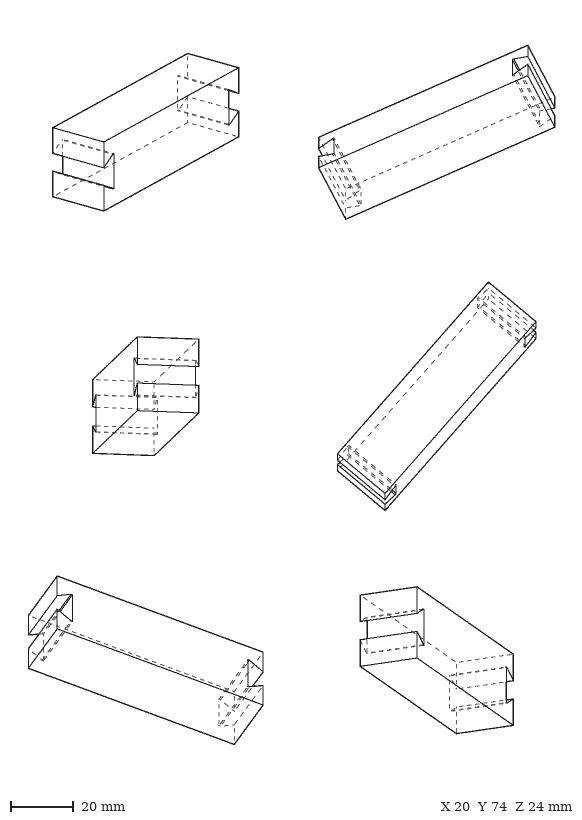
import cadquery as cq

width = 20.0
length = 74.0
height = 24.0

mouth_height = 6.1
floor_height = 12.0
flank_depth = 4.95
groove_depth = 5.5


def dovetail_groove(end):
    """Cutter along X for the end at +Y (end = 1) or -Y (end = -1)."""
    mouth_y = end * length / 2
    flank_y = end * (length / 2 - flank_depth)
    floor_y = end * (length / 2 - groove_depth)
    outline = [
        (mouth_y, mouth_height / 2),
        (flank_y, floor_height / 2),
        (floor_y, floor_height / 2),
        (floor_y, -floor_height / 2),
        (flank_y, -floor_height / 2),
        (mouth_y, -mouth_height / 2),
    ]
    return cq.Workplane("YZ").polyline(outline).close().extrude(width / 2, both=True)


result = cq.Workplane("XY").box(width, length, height)
for end in (-1, 1):
    result = result.cut(dovetail_groove(end))